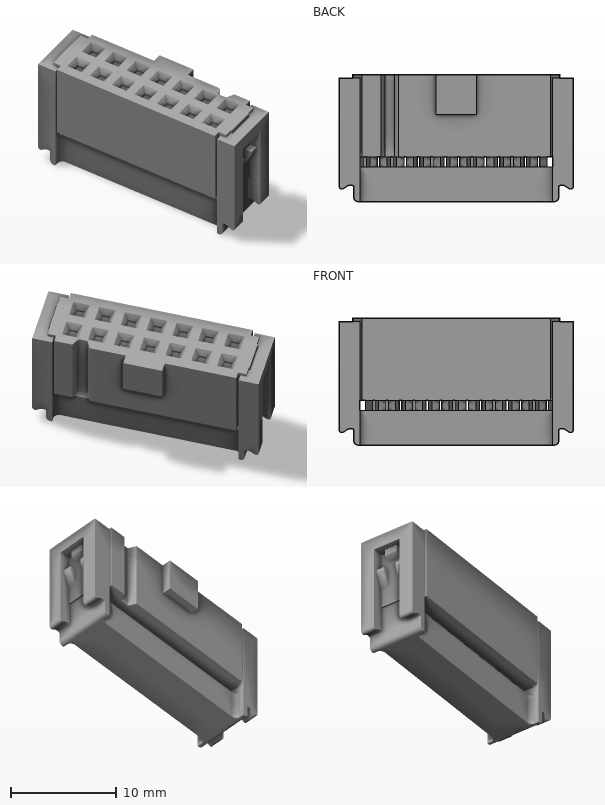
import cadquery as cq
import math

length = 22.28
height = 12.1
pitch = 2.55
pins_per_row = 7

body_length = 17.91
body_width = 6.15
body_bottom = 4.28
tongue_length = 19.56
tongue_width = 4.77
tongue_rib_length = 19.7

key_width = 3.83
key_reach = 0.95
key_height = 3.8
notch_x = 6.33
notch_depth = 0.8
notch_top_width = 1.7
notch_floor_width = 0.9

funnel_size = 1.63
socket_size = 0.8
funnel_depth = 0.55
socket_depth = 0.22

flange_top = 11.76
flange_width = 6.04
flange_inner_x = 9.18
lower_leg_x = 9.75
lower_leg_radius = 0.42
leg_tip_z = 1.2
leg_tip_radius = 0.27
leg_notch_z = 1.55
leg_notch_x = 10.12
leg_crest_radius = 0.45
leg_corner_radius = 0.18
base_top = 3.32
base_width = 4.1
cove_length = 0.55
cove_rise = 0.4

window_width = 3.03
window_top = 10.35
window_floor_x = 9.95
groove_depth = 0.22

center_latch_width = 1.34
center_latch_reach = 0.55
center_latch_tip_z = 9.62
center_latch_root_z = 9.15
side_latch_reach = 0.74
side_latch_top = 8.22
side_latch_tip_z = 7.89
side_latch_root_z = 6.42

blade_width = 0.71
blade_thickness = 0.2
wire_slot = 0.2
back_contact_shift = -0.22
front_contact_shift = back_contact_shift + pitch / 2

pin_positions = [pitch * (i - (pins_per_row - 1) / 2) for i in range(pins_per_row)]
row_positions = [-pitch / 2, pitch / 2]


def block(x_range, y_range, z_range):
    """Axis-aligned box between the given limits."""
    sizes = [limits[1] - limits[0] for limits in (x_range, y_range, z_range)]
    corner = (x_range[0], y_range[0], z_range[0])
    return cq.Workplane("XY").box(*sizes, centered=False).translate(corner)


def centered_block(x_size, y_size, z_range):
    """Box centred on the Z axis between two heights."""
    return block((-x_size / 2, x_size / 2), (-y_size / 2, y_size / 2), z_range)


def extrude_across(outline, y_range):
    """Extrude an XZ outline between two Y limits."""
    return outline.extrude(y_range[0] - y_range[1]).translate((0, y_range[0], 0))


def make_body():
    full_height = (body_bottom, height)
    body = centered_block(body_length, body_width, full_height)
    body = body.union(centered_block(tongue_length, tongue_width, full_height))
    body = body.union(centered_block(tongue_rib_length, window_width, full_height))

    back_y = body_width / 2
    key = block((-key_width / 2, key_width / 2), (0, back_y + key_reach), (height - key_height, height))
    notch = (
        cq.Workplane("XY", origin=(notch_x, back_y, body_bottom))
        .polyline([
            (-notch_top_width / 2, 0),
            (-notch_floor_width / 2, -notch_depth),
            (notch_floor_width / 2, -notch_depth),
            (notch_top_width / 2, 0),
        ])
        .close()
        .extrude(height - body_bottom)
    )
    return body.union(key).cut(notch)


def make_sockets():
    """Square funnels, each ending in a short square hole."""
    centers = [(x, y) for x in pin_positions for y in row_positions]
    taper = math.degrees(math.atan((funnel_size - socket_size) / 2 / funnel_depth))
    funnels = (
        cq.Workplane("XY", origin=(0, 0, height))
        .pushPoints(centers)
        .rect(funnel_size, funnel_size)
        .extrude(-funnel_depth, taper=taper)
    )
    holes = (
        cq.Workplane("XY", origin=(0, 0, height - funnel_depth))
        .pushPoints(centers)
        .rect(socket_size, socket_size)
        .extrude(-socket_depth)
    )
    return funnels.union(holes)


def make_base():
    """Bar whose long faces flare outwards in coves where they meet the flanges."""
    x_start = flange_inner_x - cove_length
    face_y = base_width / 2
    flare_y = face_y + cove_rise
    cove_radius = (cove_length**2 + cove_rise**2) / (2 * cove_rise)
    return (
        cq.Workplane("XY")
        .moveTo(-x_start, -face_y)
        .lineTo(x_start, -face_y)
        .radiusArc((flange_inner_x, -flare_y), cove_radius)
        .lineTo(flange_inner_x, flare_y)
        .radiusArc((x_start, face_y), cove_radius)
        .lineTo(-x_start, face_y)
        .radiusArc((-flange_inner_x, flare_y), cove_radius)
        .lineTo(-flange_inner_x, -flare_y)
        .radiusArc((-x_start, -face_y), cove_radius)
        .close()
        .extrude(base_top)
    )


def latch(reach, root_z, tip_z, top_z, y_range):
    """Flat-topped wedge on the window floor, sloping back to the floor underneath."""
    floor_x = -window_floor_x
    profile = (
        cq.Workplane("XZ")
        .polyline([
            (floor_x, root_z),
            (floor_x - reach, tip_z),
            (floor_x - reach, top_z),
            (floor_x, top_z),
        ])
        .close()
    )
    return extrude_across(profile, y_range)


def leg_ramp():
    """XZ ends of the straight line tangent to the rounded leg tip and the notch crest."""
    tip_x = -length / 2 + leg_tip_radius
    tip_z = leg_tip_z + leg_tip_radius
    crest_x = -leg_notch_x
    crest_z = leg_notch_z - leg_crest_radius
    run = crest_x - tip_x
    rise = crest_z - tip_z
    reach = math.hypot(run, rise)
    slope = math.atan2(rise, run) + math.asin((leg_tip_radius + leg_crest_radius) / reach)
    normal_x = math.sin(slope)
    normal_z = -math.cos(slope)
    tip_end = (tip_x + leg_tip_radius * normal_x, tip_z + leg_tip_radius * normal_z)
    crest_start = (crest_x - leg_crest_radius * normal_x, crest_z - leg_crest_radius * normal_z)
    return tip_end, crest_start


def make_flange():
    """End flange on the -X side, with its window and latches."""
    outer_x = -length / 2
    floor_x = -window_floor_x
    leg_x = -lower_leg_x
    half_window = window_width / 2
    half_latch = center_latch_width / 2

    tip_start_z = leg_tip_z + leg_tip_radius
    tip_end, crest_start = leg_ramp()
    outline = (
        cq.Workplane("XZ")
        .moveTo(-flange_inner_x, flange_top)
        .lineTo(outer_x, flange_top)
        .lineTo(outer_x, tip_start_z)
        .radiusArc(tip_end, -leg_tip_radius)
        .lineTo(*crest_start)
        .radiusArc((-leg_notch_x, leg_notch_z), leg_crest_radius)
        .lineTo(leg_x - leg_corner_radius, leg_notch_z)
        .radiusArc((leg_x, leg_notch_z - leg_corner_radius), leg_corner_radius)
        .lineTo(leg_x, lower_leg_radius)
        .radiusArc((leg_x + lower_leg_radius, 0), -lower_leg_radius)
        .lineTo(-flange_inner_x, 0)
        .close()
    )
    flange = extrude_across(outline, (-flange_width / 2, flange_width / 2))

    window_y = (-half_window, half_window)
    flange = flange.cut(block((outer_x, floor_x), window_y, (0, window_top)))
    flange = flange.cut(block((outer_x, leg_x), window_y, (0, body_bottom)))
    flange = flange.cut(
        block((floor_x, -tongue_rib_length / 2), window_y, (flange_top - groove_depth, flange_top))
    )

    center_y = (-half_latch, half_latch)
    flange = flange.union(
        latch(center_latch_reach, center_latch_root_z, center_latch_tip_z, window_top, center_y)
    )
    for y_range in ((-half_window, -half_latch), (half_latch, half_window)):
        flange = flange.union(
            latch(side_latch_reach, side_latch_root_z, side_latch_tip_z, side_latch_top, y_range)
        )
    return flange


def make_contacts():
    """Pairs of blades with a wire slot between them; the two rows are staggered."""
    blade_offset = (wire_slot + blade_width) / 2
    centers = []
    for y, shift in zip(row_positions, (front_contact_shift, back_contact_shift)):
        for x in pin_positions:
            centers.append((x + shift - blade_offset, y))
            centers.append((x + shift + blade_offset, y))
    return (
        cq.Workplane("XY", origin=(0, 0, base_top))
        .pushPoints(centers)
        .rect(blade_width, blade_thickness)
        .extrude(body_bottom - base_top)
    )


flange = make_flange()
result = (
    make_base()
    .union(flange)
    .union(flange.mirror("YZ"))
    .union(make_body().cut(make_sockets()))
    .union(make_contacts())
)